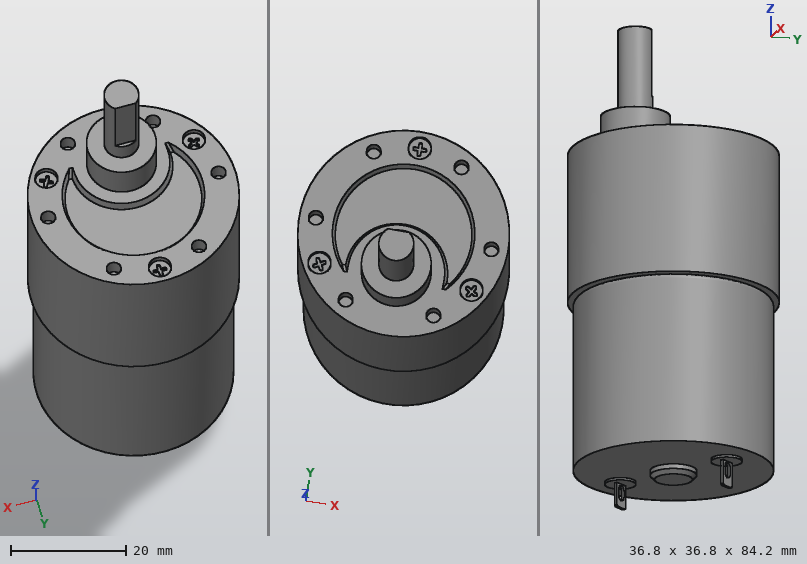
import cadquery as cq
import math


motor_radius = 17.4
motor_length = 30.6
motor_edge_fillet = 0.8
gearbox_diameter = 36.8
gearbox_length = 26.7
gearbox_face = motor_length + gearbox_length

shaft_offset = -7.0
boss_radius = 6.1
boss_height = 6.4
boss_face = gearbox_face + boss_height
shaft_radius = 3.0
shaft_flat_distance = 2.35
shaft_round_length = 3.5
terminal_length = 5.0
overall_length = 84.2
shaft_tip = overall_length - terminal_length

bolt_circle_radius = 15.5
mount_hole_count = 6
mount_hole_diameter = 2.5
mount_hole_depth = 3.0
screw_angles = (90, 210, 330)
screw_hole_diameter = 3.95
screw_hole_depth = 1.0
cross_length = 2.35
cross_width = 0.6
cross_depth = 0.5

recess_depth = 1.2
recess_radius = 12.4
recess_wall_inset = 0.5
island_radius = 8.4
tip_face_y = -8.5
tip_floor_y = -7.1

bearing_radius = 4.0
bearing_height = 1.6
bearing_chamfer = 0.75

terminal_radius = 11.4
terminal_angle = 35.0
terminal_shortfall = 0.25
insulator_radius = 2.7
insulator_height = 0.4
blade_width = 2.7
blade_thickness = 0.5
blade_corner = 0.25
slot_length = 2.7
slot_width = 1.5
slot_center_depth = 2.0


def cylinder(radius, bottom, top, y=0.0):
    return cq.Workplane("XY", origin=(0, y, bottom)).circle(radius).extrude(top - bottom)


def output_shaft():
    """Shaft with a flat facing +Y above a short round section."""
    flat_start = boss_face + shaft_round_length
    flat_length = shaft_tip - flat_start
    cutter = (
        cq.Workplane("XY", origin=(0, shaft_offset + shaft_flat_distance, flat_start))
        .rect(2 * shaft_radius, 2 * shaft_radius)
        .extrude(flat_length)
        .translate((0, shaft_radius, 0))
    )
    return cylinder(shaft_radius, boss_face, shaft_tip, shaft_offset).cut(cutter)


def crescent_recess():
    """Conical pocket, less a sloping island around the output boss."""
    draft_angle = math.degrees(math.atan(recess_wall_inset / recess_depth))
    floor = gearbox_face - recess_depth
    pocket = (
        cq.Workplane("XY", origin=(0, 0, gearbox_face))
        .circle(recess_radius)
        .extrude(-recess_depth, taper=draft_angle)
    )

    island_foot = island_radius + recess_wall_inset
    island = (
        cq.Workplane("XY", origin=(0, shaft_offset, floor))
        .moveTo(island_foot, 0)
        .threePointArc((0, island_foot), (-island_foot, 0))
        .lineTo(-island_foot, -recess_radius)
        .lineTo(island_foot, -recess_radius)
        .close()
        .extrude(recess_depth, taper=draft_angle)
    )

    tip_ground = (
        cq.Workplane("YZ")
        .polyline([
            (tip_floor_y, floor),
            (tip_face_y, gearbox_face),
            (-recess_radius, gearbox_face),
            (-recess_radius, floor),
        ])
        .close()
        .extrude(recess_radius, both=True)
    )
    return pocket.cut(island).cut(tip_ground)


def mount_holes():
    return (
        cq.Workplane("XY", origin=(0, 0, gearbox_face))
        .polarArray(bolt_circle_radius, 0, 360, mount_hole_count)
        .circle(mount_hole_diameter / 2)
        .extrude(-mount_hole_depth)
    )


def screw_recesses():
    """Three sunken screw heads, each with a cross-shaped driver recess."""
    head_face = gearbox_face - screw_hole_depth
    hole = cylinder(screw_hole_diameter / 2, head_face, gearbox_face)
    head = cq.Workplane("XY", origin=(0, 0, head_face))
    arm_x = head.slot2D(cross_length, cross_width).extrude(-cross_depth)
    arm_y = head.slot2D(cross_length, cross_width, 90).extrude(-cross_depth)
    recess = hole.union(arm_x).union(arm_y).translate((bolt_circle_radius, 0, 0))

    recesses = cq.Workplane("XY")
    for angle in screw_angles:
        recesses = recesses.add(recess.rotate((0, 0, 0), (0, 0, 1), angle))
    return recesses.combine()


def terminal(length, angle):
    """Slotted solder blade on a round insulator, facing radially outward."""
    blade = (
        cq.Workplane("XY")
        .rect(blade_thickness, blade_width)
        .extrude(-length)
        .faces("<Z")
        .edges("|X")
        .chamfer(blade_corner)
    )
    slot = (
        cq.Workplane("YZ", origin=(0, 0, -slot_center_depth))
        .slot2D(slot_length, slot_width, 90)
        .extrude(blade_thickness, both=True)
    )
    insulator = cylinder(insulator_radius, -insulator_height, 0)
    return (
        blade.cut(slot)
        .union(insulator)
        .translate((terminal_radius, 0, 0))
        .rotate((0, 0, 0), (0, 0, 1), angle)
    )


motor = cylinder(motor_radius, 0, motor_length).faces(">Z").edges().fillet(motor_edge_fillet)
gearbox = cylinder(gearbox_diameter / 2, motor_length, gearbox_face)
gearbox = gearbox.cut(crescent_recess()).cut(mount_holes()).cut(screw_recesses())
boss = cylinder(boss_radius, gearbox_face, boss_face, shaft_offset)
bearing = cylinder(bearing_radius, -bearing_height, 0).faces("<Z").chamfer(bearing_chamfer)

result = (
    motor.union(gearbox)
    .union(boss)
    .union(output_shaft())
    .union(bearing)
    .union(terminal(terminal_length, terminal_angle))
    .union(terminal(terminal_length - terminal_shortfall, terminal_angle + 180))
)